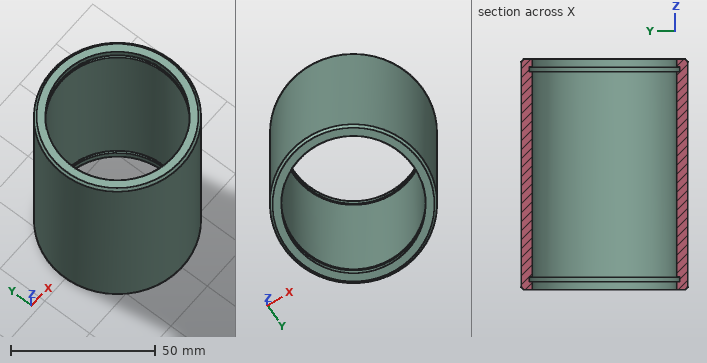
import cadquery as cq

length = 80.0
outer_diameter = 58.0
bore_diameter = 50.0
edge_chamfer = 1.0

groove_inset = 2.9
groove_width = 1.5
groove_depth = 1.0


def make_sleeve():
    """Plain tube along Z with both outer rims chamfered."""
    body = cq.Workplane("XY").circle(outer_diameter / 2).extrude(length)
    body = body.faces("<Z or >Z").edges().chamfer(edge_chamfer)
    bore = cq.Workplane("XY").circle(bore_diameter / 2).extrude(length)
    return body.cut(bore)


def make_groove_cutter(bottom):
    """Disc that widens the bore from the given height over one groove width."""
    radius = bore_diameter / 2 + groove_depth
    return cq.Workplane("XY").workplane(offset=bottom).circle(radius).extrude(groove_width)


result = make_sleeve()
for groove_bottom in (groove_inset, length - groove_inset - groove_width):
    result = result.cut(make_groove_cutter(groove_bottom))